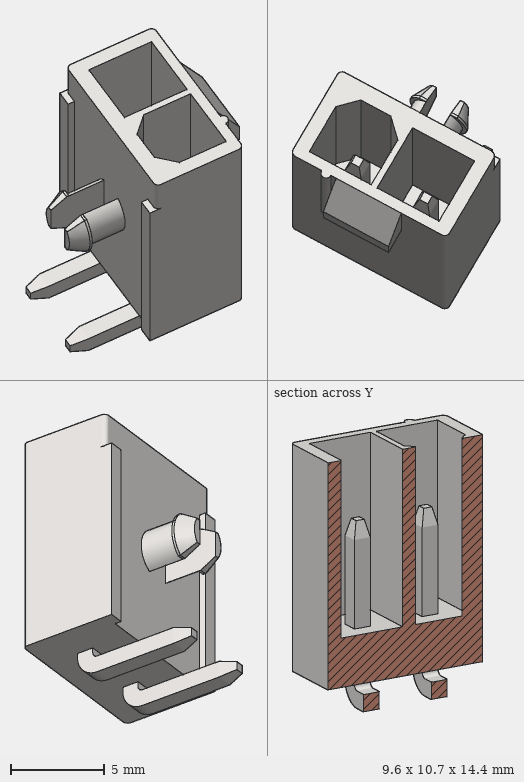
import cadquery as cq
import math


housing_width = 9.6
housing_depth = 5.41
housing_height = 12.8
corner_radius = 0.3

cavity_width = 3.8
cavity_depth = 10.0
cavity_latch_wall = 0.6
cavity_board_wall = 0.94
cavity_divider = 0.36
key_chamfer = 0.98

rail_width = 0.9
rail_projection = 0.39
rail_top_drop = 2.02

latch_width = 4.0
latch_projection = 1.38
latch_ramp_drop = 2.1
latch_tip_drop = 3.12
latch_root_drop = 3.02
rib_x = 2.6
rib_radius = 0.29
rib_length = 6.28

peg_drop = 6.61
peg_stem_radius = 1.5
peg_barb_radius = 1.74
peg_tip_radius = 1.24
peg_tip_half_height = 0.76
peg_slot_width = 1.47
peg_stem_length = 2.17
peg_barb_length = 0.15
peg_length = 3.3

pin_pitch = 4.2
pin_size = 1.0
pin_tip_size = 0.5
pin_taper_length = 1.0
pin_axis_inset = 2.52
pin_bend_radius = 0.3
pin_drop = 1.6
pin_reach = 9.32
pin_top_drop = 4.0

board_face_y = -housing_depth

peg_half_height = math.sqrt(peg_stem_radius**2 - (peg_slot_width / 2) ** 2)


def block(x_range, y_range, z_range):
    """Box given by its lower and upper limits along each axis."""
    (x0, x1), (y0, y1), (z0, z1) = x_range, y_range, z_range
    return cq.Workplane("XY").box(x1 - x0, y1 - y0, z1 - z0, centered=False).translate((x0, y0, z0))


def make_housing():
    body = block((-housing_width / 2, housing_width / 2), (board_face_y, 0), (0, housing_height))
    return body.edges("|Z").fillet(corner_radius)


def make_rail(side):
    """Square-cornered rail that also fills the rounded housing corner."""
    outer_x = side * housing_width / 2
    x_range = sorted((outer_x, outer_x - side * rail_width))
    y_range = (board_face_y - rail_projection, board_face_y + corner_radius)
    return block(x_range, y_range, (0, housing_height - rail_top_drop))


def make_cavity(side):
    """Cavity volume; the one on the +X side has two keying chamfers."""
    x_range = sorted((side * cavity_divider / 2, side * (cavity_divider / 2 + cavity_width)))
    y_range = (board_face_y + cavity_board_wall, -cavity_latch_wall)
    cavity = block(x_range, y_range, (housing_height - cavity_depth, housing_height))
    if side > 0:
        cavity = cavity.faces("<Y").edges("|Z").chamfer(key_chamfer)
    return cavity


def make_latch():
    """Ramp rising from the mating rim to a slightly undercut catch."""
    profile = [
        (0, housing_height),
        (latch_projection, housing_height - latch_ramp_drop),
        (latch_projection, housing_height - latch_tip_drop),
        (0, housing_height - latch_root_drop),
    ]
    return cq.Workplane("YZ").polyline(profile).close().extrude(latch_width / 2, both=True)


def make_rib():
    """Half-round rib running down from the mating rim."""
    rib = cq.Workplane("XY", origin=(rib_x, 0, housing_height - rib_length))
    return rib.circle(rib_radius).extrude(rib_length)


def make_peg():
    """Barbed round peg with two flats, tapered at the tip and split by a slot."""
    barb_end = peg_stem_length + peg_barb_length
    turned_profile = [
        (0, 0),
        (peg_stem_radius, 0),
        (peg_stem_radius, -peg_stem_length),
        (peg_barb_radius, -peg_stem_length),
        (peg_barb_radius, -barb_end),
        (peg_tip_radius, -peg_length),
        (0, -peg_length),
    ]
    flat_profile = [
        (0, peg_half_height),
        (-barb_end, peg_half_height),
        (-peg_length, peg_tip_half_height),
        (-peg_length, -peg_tip_half_height),
        (-barb_end, -peg_half_height),
        (0, -peg_half_height),
    ]
    turned = cq.Workplane("XY").polyline(turned_profile).close().revolve(360, (0, 0), (0, 1))
    flats = cq.Workplane("YZ").polyline(flat_profile).close().extrude(peg_barb_radius, both=True)
    slot = block(
        (-peg_slot_width / 2, peg_slot_width / 2),
        (-peg_length, 0),
        (-peg_half_height, peg_half_height),
    )
    peg = turned.intersect(flats).cut(slot)
    return peg.translate((0, board_face_y, housing_height - peg_drop))


def tapered_tip(direction, base_center):
    """Square pyramid frustum pointing along the given direction."""
    base = cq.Workplane(cq.Plane(origin=base_center, xDir=(1, 0, 0), normal=direction))
    base = base.rect(pin_size, pin_size).workplane(offset=pin_taper_length)
    return base.rect(pin_tip_size, pin_tip_size).loft(ruled=True)


def make_pin(x):
    """Square pin running down through the housing and bent toward the board."""
    half = pin_size / 2
    axis_radius = pin_bend_radius + half
    tail_z = half - pin_drop
    straight_top = housing_height - pin_top_drop - pin_taper_length
    straight_end = pin_taper_length - pin_reach
    path = (
        cq.Workplane("YZ", origin=(x, 0, 0))
        .moveTo(-pin_axis_inset, straight_top)
        .lineTo(-pin_axis_inset, tail_z + axis_radius)
        .radiusArc((-pin_axis_inset - axis_radius, tail_z), axis_radius)
        .lineTo(straight_end, tail_z)
    )
    section = cq.Workplane("XY", origin=(x, -pin_axis_inset, straight_top)).rect(pin_size, pin_size)
    shaft = section.sweep(path)
    contact_tip = tapered_tip((0, 0, 1), (x, -pin_axis_inset, straight_top))
    solder_tip = tapered_tip((0, -1, 0), (x, straight_end, tail_z))
    return shaft.union(contact_tip).union(solder_tip)


result = make_housing()
for side in (-1, 1):
    result = result.union(make_rail(side)).cut(make_cavity(side))
result = result.union(make_latch()).union(make_rib()).union(make_peg())
for side in (-1, 1):
    result = result.union(make_pin(side * pin_pitch / 2))